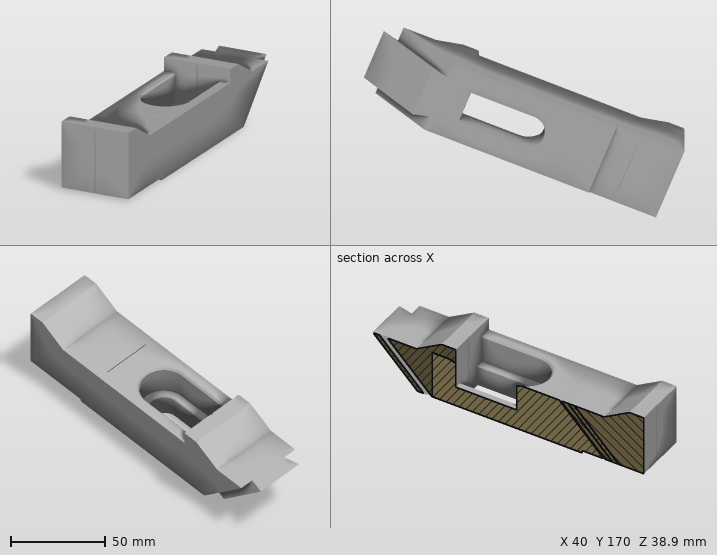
import cadquery as cq

width = 40.0
jaw_height = 37.4
shoulder_height = 28.2
jaw_crest = 9.0
jaw_ramp = 15.8
jaw_foot = 15.1
jaw_back = jaw_foot + shoulder_height

tongue_length = 9.0
tongue_root = 23.8
tongue_tip = 28.4
tongue_gap = 0.5

mark_width = 0.9
mark_depth = 0.5

total_length = 170.0
front_jaw_lift = 1.5
rear_jaw_y = total_length - jaw_back - tongue_length
body_height = front_jaw_lift + shoulder_height
body_rear = rear_jaw_y + jaw_foot
relief_end = 38.3
relief_chamfer = 0.5

slot_front_center = 81.3
slot_rear_center = 116.1
recess_width = 26.4
recess_chamfer = 1.0
ledge_height = 12.5
slot_width = 17.3
slot_chamfer = 0.5


def side_prism(points):
    """Extrude a (Y, Z) outline across the full width."""
    return cq.Workplane("YZ").polyline(points).close().extrude(width / 2, both=True)


def dovetail(length):
    """Tongue that flares towards its tip and descends along the 45 degree back."""
    flare = (tongue_tip - tongue_root) / 2 / tongue_length
    tip = tongue_root / 2 + flare * length
    upper = [(-tongue_root / 2, 0), (-tip, length), (tip, length), (tongue_root / 2, 0)]
    faces = []
    for y, z in ((jaw_back, shoulder_height), (jaw_foot, 0)):
        corners = [cq.Vector(px, y + py, z) for px, py in upper]
        faces.append(cq.Wire.makePolygon(corners, close=True))
    return cq.Workplane(cq.Solid.makeLoft(faces, True))


def make_jaw():
    jaw = side_prism([
        (0, 0),
        (0, jaw_height),
        (jaw_crest, jaw_height),
        (jaw_crest + jaw_ramp, shoulder_height),
        (jaw_back, shoulder_height),
        (jaw_foot, 0),
    ])
    mark = cq.Workplane("XY").box(mark_width, 2 * mark_depth, 2 * jaw_height)
    return jaw.union(dovetail(tongue_length)).cut(mark)


def slot_cutter(clear_width, bottom, top, chamfer):
    """Upright round-ended slot whose upper rim is chamfered at 45 degrees."""
    center_distance = slot_rear_center - slot_front_center
    middle = (slot_rear_center + slot_front_center) / 2
    rim_width = clear_width + 2 * chamfer
    shaft = (
        cq.Workplane("XY", origin=(0, middle, bottom))
        .slot2D(center_distance + clear_width, clear_width, 90)
        .extrude(top - bottom)
    )
    rim = (
        cq.Workplane("XY", origin=(0, middle, top))
        .slot2D(center_distance + rim_width, rim_width, 90)
        .extrude(-chamfer, taper=45)
    )
    return shaft.union(rim)


def make_body():
    body = side_prism([
        (jaw_foot, front_jaw_lift),
        (jaw_back, body_height),
        (body_rear, body_height),
        (body_rear, 0),
        (relief_end + relief_chamfer, 0),
        (relief_end, relief_chamfer),
        (relief_end, front_jaw_lift),
    ])
    tongue_groove = dovetail(tongue_length + tongue_gap).translate((0, 0, front_jaw_lift))
    recess = slot_cutter(recess_width, ledge_height, body_height, recess_chamfer)
    through_slot = slot_cutter(slot_width, 0, ledge_height, slot_chamfer)
    return body.cut(tongue_groove).cut(recess).cut(through_slot)


body = make_body()
front_jaw = make_jaw().translate((0, 0, front_jaw_lift))

rear_jaw = make_jaw().translate((0, rear_jaw_y, 0)).cut(body)

result = cq.Compound.makeCompound([body.val(), front_jaw.val(), rear_jaw.val()])